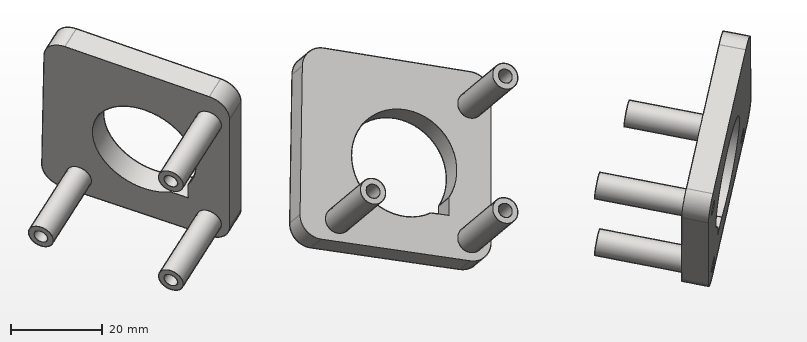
import cadquery as cq

plate_thickness = 6.0
corner_radius = 5.0
right_reach = 20.7
left_reach = 24.8
top_reach = 24.2
edge_taper = 0.55

bore_radius = 12.5
notch_reach_x = 10.65
notch_reach_z = 10.8

post_offset = 15.75
post_radius = 3.0
post_hole_radius = 1.65
post_length = 20.0
post_centers = [
    (-post_offset, -post_offset),
    (post_offset, -post_offset),
    (post_offset, post_offset),
]


def make_plate():
    """Slightly tapered plate, outlined by offsetting its corner arc centers."""
    left = corner_radius - left_reach
    right = right_reach - corner_radius
    bottom = corner_radius - right_reach
    top = top_reach - corner_radius
    arc_centers = [
        (left, bottom),
        (right, bottom),
        (right, top - edge_taper),
        (left + edge_taper, top),
    ]
    return (
        cq.Workplane("XZ")
        .polyline(arc_centers)
        .close()
        .offset2D(corner_radius, "arc")
        .extrude(-plate_thickness)
    )


def make_bore():
    """Round opening joined with the notch at its lower right."""
    bore = cq.Workplane("XZ").circle(bore_radius).extrude(-plate_thickness)
    notch = (
        cq.Workplane("XZ")
        .moveTo(0, 0)
        .lineTo(notch_reach_x, 0)
        .lineTo(notch_reach_x, -notch_reach_z)
        .lineTo(0, -notch_reach_z)
        .close()
        .extrude(-plate_thickness)
    )
    return bore.union(notch)


def make_posts():
    """Posts standing forward from the front face."""
    return cq.Workplane("XZ").pushPoints(post_centers).circle(post_radius).extrude(post_length)


def make_post_holes():
    """Holes through the posts and the plate behind them."""
    return (
        cq.Workplane("XZ", origin=(0, plate_thickness, 0))
        .pushPoints(post_centers)
        .circle(post_hole_radius)
        .extrude(plate_thickness + post_length)
    )


result = make_plate().cut(make_bore()).union(make_posts()).cut(make_post_holes())